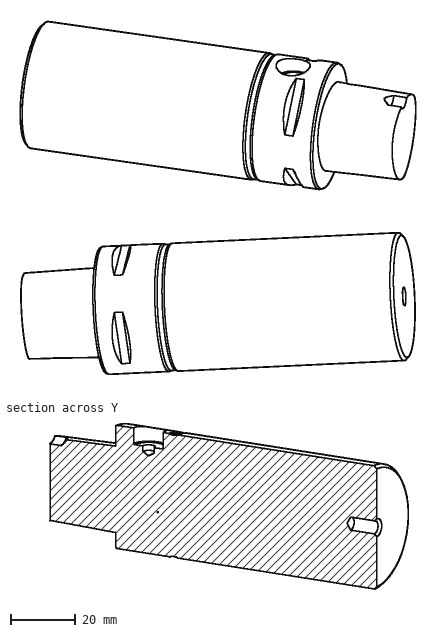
import cadquery as cq
import math

total_length = 119.0
body_length = 95.1
body_diameter = 40.0
body_radius = body_diameter / 2

front_chamfer = 1.0
rim_diameter = 39.4
rim_chamfer_length = 0.7

groove_start = 72.5
groove_width = 3.0
groove_diameter = 39.4
groove_flank = 0.7

shank_root_radius = 14.0
shank_tip_radius = 13.5
lobe_height = 0.8
lobe_count = 3
lobe_points = 48

notch_radius = 3.5
notch_axis_height = 14.0
notch_length = 4.2

slot_count = 4
slot_x = 87.1
slot_floor_distance = 17.7
slot_floor_width = 2.6
slot_flank_angle = 31.0

pocket_x = 83.1
pocket_diameter = 10.6
pocket_floor_diameter = 10.0
pocket_depth = 5.4
drill_diameter = 4.0
drill_depth = 1.8
drill_tip_angle = 118.0

centre_depth = 9.5
centre_sink_diameter = 5.7


def make_body():
    """Turned cylinder with end chamfers and the ring groove."""
    groove_end = groove_start + groove_width
    groove_radius = groove_diameter / 2
    profile = [
        (0, 0),
        (0, body_radius - front_chamfer),
        (front_chamfer, body_radius),
        (groove_start, body_radius),
        (groove_start + groove_flank, groove_radius),
        (groove_end - groove_flank, groove_radius),
        (groove_end, body_radius),
        (body_length - rim_chamfer_length, body_radius),
        (body_length, rim_diameter / 2),
        (body_length, 0),
    ]
    half_section = cq.Workplane("XY").polyline(profile).close()
    return half_section.revolve(360, (0, 0, 0), (1, 0, 0))


def lobed_outline(mean_radius):
    """Constant-width outline with one lobe pointing to -Z."""
    points = []
    for i in range(lobe_points):
        angle = 2 * math.pi * i / lobe_points
        phase = lobe_count * (angle + math.pi / 2)
        reach = mean_radius + lobe_height * math.cos(phase)
        slope = -lobe_count * lobe_height * math.sin(phase)
        y = reach * math.cos(angle) - slope * math.sin(angle)
        z = reach * math.sin(angle) + slope * math.cos(angle)
        points.append((y, z))
    return points


def make_shank():
    """Lofted taper from the body face to the tip."""
    root = cq.Workplane("YZ", origin=(body_length, 0, 0))
    root = root.spline(lobed_outline(shank_root_radius), periodic=True).close()
    tip = root.workplane(offset=total_length - body_length)
    tip = tip.spline(lobed_outline(shank_tip_radius), periodic=True).close()
    return tip.loft(ruled=True)


def make_notch():
    """Round channel along X that ends in a 90 degree cone."""
    start = total_length - notch_length
    profile = [
        (start - notch_radius, 0),
        (start, notch_radius),
        (total_length, notch_radius),
        (total_length, 0),
    ]
    cutter = cq.Workplane("XY").polyline(profile).close()
    cutter = cutter.revolve(360, (0, 0, 0), (1, 0, 0))
    return cutter.translate((0, 0, notch_axis_height))


def make_slot(angle):
    """Straight tangential slot with sloping flanks, turned about X."""
    height = body_radius - slot_floor_distance
    half_floor = slot_floor_width / 2
    half_top = half_floor + height * math.tan(math.radians(slot_flank_angle))
    profile = [
        (slot_x - half_floor, slot_floor_distance),
        (slot_x + half_floor, slot_floor_distance),
        (slot_x + half_top, body_radius),
        (slot_x - half_top, body_radius),
    ]
    cutter = cq.Workplane("XZ").polyline(profile).close().extrude(body_radius, both=True)
    return cutter.rotate((0, 0, 0), (1, 0, 0), angle)


def make_drill(depth):
    """Drilled hole running down from Z = 0 to a conical tip."""
    radius = drill_diameter / 2
    tip_length = radius / math.tan(math.radians(drill_tip_angle / 2))
    profile = [(0, 0), (radius, 0), (radius, -depth), (0, -depth - tip_length)]
    half_section = cq.Workplane("XZ").polyline(profile).close()
    return half_section.revolve(360, (0, 0, 0), (0, 1, 0))


def make_pocket():
    """Flat-bottomed pocket with a broken floor edge and a central drill point."""
    floor_break = (pocket_diameter - pocket_floor_diameter) / 2
    cutter = cq.Workplane("XY").circle(pocket_diameter / 2).extrude(pocket_depth)
    cutter = cutter.faces("<Z").chamfer(floor_break)
    cutter = cutter.union(make_drill(drill_depth))
    return cutter.translate((pocket_x, 0, body_radius - pocket_depth))


def make_centre_hole():
    """Countersunk blind hole in the front face, along +X."""
    drill_radius = drill_diameter / 2
    sink_radius = centre_sink_diameter / 2
    sink_depth = sink_radius - drill_radius
    sink = cq.Solid.makeCone(
        sink_radius, drill_radius, sink_depth, cq.Vector(0, 0, 0), cq.Vector(1, 0, 0)
    )
    drill = make_drill(centre_depth).rotate((0, 0, 0), (0, 1, 0), -90)
    return drill.union(cq.Workplane(sink))


result = make_body().union(make_shank())
result = result.cut(make_notch())
for index in range(slot_count):
    result = result.cut(make_slot((index + 0.5) * 360 / slot_count))
result = result.cut(make_pocket())
result = result.cut(make_centre_hole())